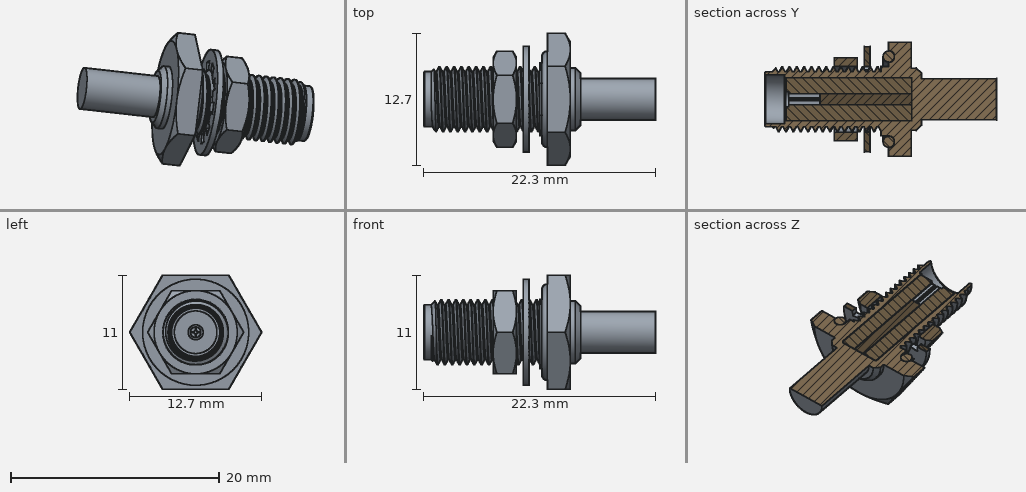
import cadquery as cq
import math


total_length = 22.3
barrel_radius = 2.667
rim_chamfer = 0.12
pilot_length = 0.75
thread_radius = 6.26 / 2
thread_pitch = 25.4 / 36
thread_crest_width = 0.07
thread_flank_angle = 28
thread_sink = 0.05
crest_at_top_x = 1.69

collar_start = 11.16
collar_radius = 3.52
collar_flat_height = 3.16

flange_start = 11.9
flange_thickness = 2.19
flange_end = flange_start + flange_thickness
flange_across_flats = 11.0
boss_radius = 3.02
boss_length = 0.99
boss_chamfer = 0.5
tube_radius = 2.0

socket_radius = 2.32
socket_lead_in = 0.1
socket_depth = 1.9
insulator_recess = 0.15
insulator_start = socket_depth + insulator_recess
insulator_radius = 2.05
insulator_end = flange_end
contact_radius = 0.51
contact_recess_radius = 0.72
contact_recess = 0.25
contact_start = insulator_start + contact_recess
contact_hole_radius = 0.16
contact_hole_depth = 3.0
contact_slot_width = 0.1
contact_slot_count = 2

ring_section_radius = 0.54
ring_centre_radius = 4.1

thread_clearance = 0.02
clearance_radius = thread_radius + thread_clearance
nut_start = 6.68
nut_thickness = 2.24
nut_across_flats = 8.0
hex_chamfer_angle = 30
washer_start = 9.56
washer_thickness = 0.58
washer_radius = 5.1
washer_gap_count = 10
washer_gap_radius = 4.0
washer_gap_angle = 16


def cylinder(start, length, radius):
    return cq.Workplane("YZ", origin=(start, 0, 0)).circle(radius).extrude(length)


def hexagon(start, thickness, across_flats, chamfer_front):
    """Hexagonal prism with corners on Y, its rear (and front) corners turned off to a cone."""
    corner_radius = across_flats / 2 / math.cos(math.radians(30))
    flat_radius = across_flats / 2
    drop = (corner_radius - flat_radius) * math.tan(math.radians(hex_chamfer_angle))
    end = start + thickness
    prism = cq.Workplane("YZ", origin=(start, 0, 0)).polygon(6, 2 * corner_radius).extrude(thickness)
    turned = cq.Workplane("XY").moveTo(start, 0)
    if chamfer_front:
        turned = turned.lineTo(start, flat_radius).lineTo(start + drop, corner_radius)
    else:
        turned = turned.lineTo(start, corner_radius)
    turned = turned.lineTo(end - drop, corner_radius).lineTo(end, flat_radius).lineTo(end, 0).close()
    return prism.intersect(turned.revolve(360, (0, 0, 0), (1, 0, 0)))


def ring_torus():
    return cq.Workplane("XY").add(
        cq.Solid.makeTorus(
            ring_centre_radius, ring_section_radius, cq.Vector(flange_start, 0, 0), cq.Vector(1, 0, 0)
        )
    )


def make_thread():
    """Right-handed V ridge, with its front end turned down to a 45 degree cone."""
    root_radius = barrel_radius - thread_sink
    root_half = thread_crest_width / 2 + (thread_radius - root_radius) * math.tan(
        math.radians(thread_flank_angle)
    )
    crest_half = thread_crest_width / 2
    start = crest_at_top_x - 2 * thread_pitch
    turns = math.ceil((collar_start - start) / thread_pitch)
    path = cq.Wire.makeHelix(
        thread_pitch, turns * thread_pitch, root_radius, cq.Vector(0, 0, 0), cq.Vector(0, 0, 1)
    )
    section = cq.Workplane("XZ").polyline(
        [
            (root_radius, -root_half),
            (thread_radius, -crest_half),
            (thread_radius, crest_half),
            (root_radius, root_half),
        ]
    ).close()
    ridge = section.sweep(cq.Workplane("XY").add(path), isFrenet=True)
    ridge = ridge.rotate((0, 0, 0), (0, 1, 0), 90).rotate((0, 0, 0), (1, 0, 0), 180)
    ridge = ridge.translate((start, 0, 0))
    envelope_radius = collar_radius
    cone_end = pilot_length + envelope_radius - barrel_radius
    envelope_end = collar_start + thread_sink
    envelope = (
        cq.Workplane("XY")
        .moveTo(pilot_length, 0)
        .lineTo(pilot_length, barrel_radius)
        .lineTo(cone_end, envelope_radius)
        .lineTo(envelope_end, envelope_radius)
        .lineTo(envelope_end, 0)
        .close()
        .revolve(360, (0, 0, 0), (1, 0, 0))
    )
    return ridge.intersect(envelope)


def make_shell():
    barrel = cylinder(0, flange_start, barrel_radius).faces("<X").chamfer(rim_chamfer)
    collar = cylinder(collar_start, flange_start - collar_start, collar_radius)
    flat_cutter = cq.Workplane("XY", origin=(0, 0, collar_flat_height)).rect(
        2 * total_length, 2 * collar_radius
    ).extrude(collar_radius)
    collar = collar.cut(flat_cutter)
    flange = hexagon(flange_start, flange_thickness, flange_across_flats, False).cut(ring_torus())
    boss = cylinder(flange_end, boss_length, boss_radius).faces(">X").chamfer(boss_chamfer)
    tube = cylinder(flange_end, total_length - flange_end, tube_radius)
    body = barrel.union(make_thread()).union(collar).union(flange).union(boss).union(tube)
    socket = cylinder(0, socket_depth, socket_radius)
    lead_in = cq.Workplane("XY").add(
        cq.Solid.makeCone(
            socket_radius + socket_lead_in, socket_radius, socket_lead_in, dir=cq.Vector(1, 0, 0)
        )
    )
    seat = cylinder(socket_depth, insulator_end - socket_depth, insulator_radius)
    return body.cut(socket).cut(lead_in).cut(seat)


def make_insulator():
    """Cylinder bored for the contact, with a shallow counterbore around the contact's tip."""
    body = cylinder(insulator_start, insulator_end - insulator_start, insulator_radius)
    bore = cylinder(contact_start, insulator_end - contact_start, contact_radius)
    recess = cylinder(insulator_start, contact_recess, contact_recess_radius)
    return body.cut(bore).cut(recess)


def make_contact():
    """Socket pin, drilled from the front and split into spring fingers by crossed slots."""
    body = cylinder(contact_start, insulator_end - contact_start, contact_radius)
    body = body.cut(cylinder(contact_start, contact_hole_depth, contact_hole_radius))
    for i in range(contact_slot_count):
        slot = cq.Workplane("YZ", origin=(contact_start, 0, 0)).rect(
            2 * contact_radius, contact_slot_width
        ).extrude(contact_hole_depth)
        body = body.cut(slot.rotate((0, 0, 0), (1, 0, 0), i * 180 / contact_slot_count))
    return body


def make_nut():
    nut = hexagon(nut_start, nut_thickness, nut_across_flats, True)
    return nut.cut(cylinder(nut_start, nut_thickness, clearance_radius))


def make_washer():
    """Flat washer whose inner edge is divided into teeth by wedge-shaped gaps."""
    washer = cylinder(washer_start, washer_thickness, washer_radius)
    washer = washer.cut(cylinder(washer_start, washer_thickness, clearance_radius))
    half_angle = math.radians(washer_gap_angle / 2)
    gap_y = washer_gap_radius * math.cos(half_angle)
    gap_z = washer_gap_radius * math.sin(half_angle)
    gap = (
        cq.Workplane("YZ", origin=(washer_start, 0, 0))
        .lineTo(gap_y, -gap_z)
        .threePointArc((washer_gap_radius, 0), (gap_y, gap_z))
        .close()
        .extrude(washer_thickness)
    )
    for i in range(washer_gap_count):
        angle = i * 360 / washer_gap_count
        washer = washer.cut(gap.rotate((0, 0, 0), (1, 0, 0), angle))
    return washer


shell = make_shell()
insulator = make_insulator()
contact = make_contact()
o_ring = ring_torus()
nut = make_nut()
washer = make_washer()

result = cq.Compound.makeCompound(
    [shell.val(), insulator.val(), contact.val(), o_ring.val(), nut.val(), washer.val()]
)